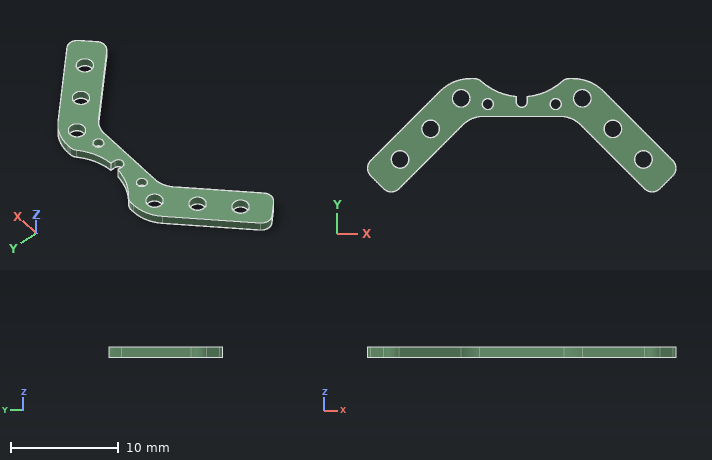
import cadquery as cq
import math

span = 28.65
depth = 10.55
thickness = 1.0
bridge_top = 3.55

arm_width = 3.72
end_radius = 1.0
outer_bend_radius = 4.0
inner_bend_radius = 2.7

inner_bend_start_x = 3.93
inner_bend_end_x = 5.65

relief_radius = 5.65
relief_bottom = 1.85
relief_corner_radius = 0.97

notch_width = 1.0
notch_bottom = 0.9

arm_hole_diameter = 1.6
arm_hole_count = 3
arm_hole_pitch = 4.0
arm_hole_end_distance = 3.0
bridge_hole_diameter = 1.0
bridge_hole_x = 3.15
bridge_hole_y = 1.17

diagonal = math.sqrt(0.5)
tip_loss = end_radius * (math.sqrt(2) - 1)
arm_side_step = arm_width * diagonal
outer_end_x = span / 2 + tip_loss
inner_end_y = bridge_top - depth - tip_loss
outer_end_y = inner_end_y + arm_side_step
inner_end_x = outer_end_x - arm_side_step
outer_bend_x = outer_end_x - (bridge_top - outer_end_y)
inner_bend_end_y = inner_end_y + inner_end_x - inner_bend_end_x

relief_center_y = relief_bottom + relief_radius
relief_half_width = math.sqrt(relief_radius**2 - (relief_center_y - bridge_top) ** 2)


def round_corners(body, corners, radius):
    """Round the vertical edges at the given corners of the right half and their mirror images."""
    for x, y in corners:
        for side in (-1, 1):
            edge = cq.selectors.NearestToPointSelector((side * x, y, thickness / 2))
            body = body.edges("|Z").edges(edge).fillet(radius)
    return body


def make_plate():
    plate = (
        cq.Workplane("XY")
        .moveTo(-relief_half_width, bridge_top)
        .threePointArc((0, relief_bottom), (relief_half_width, bridge_top))
        .lineTo(outer_bend_x, bridge_top)
        .lineTo(outer_end_x, outer_end_y)
        .lineTo(inner_end_x, inner_end_y)
        .lineTo(inner_bend_end_x, inner_bend_end_y)
        .radiusArc((inner_bend_start_x, 0), -inner_bend_radius)
        .lineTo(-inner_bend_start_x, 0)
        .radiusArc((-inner_bend_end_x, inner_bend_end_y), -inner_bend_radius)
        .lineTo(-inner_end_x, inner_end_y)
        .lineTo(-outer_end_x, outer_end_y)
        .lineTo(-outer_bend_x, bridge_top)
        .close()
        .extrude(thickness)
    )
    arm_ends = [(outer_end_x, outer_end_y), (inner_end_x, inner_end_y)]
    plate = round_corners(plate, arm_ends, end_radius)
    plate = round_corners(plate, [(outer_bend_x, bridge_top)], outer_bend_radius)
    return round_corners(plate, [(relief_half_width, bridge_top)], relief_corner_radius)


def make_notch():
    """Round-bottomed slot, open at the top."""
    radius = notch_width / 2
    return (
        cq.Workplane("XY")
        .moveTo(-radius, bridge_top)
        .lineTo(-radius, notch_bottom + radius)
        .threePointArc((0, notch_bottom), (radius, notch_bottom + radius))
        .lineTo(radius, bridge_top)
        .close()
        .extrude(thickness)
    )


def make_holes(points, diameter):
    return cq.Workplane("XY").pushPoints(points).circle(diameter / 2).extrude(thickness)


arm_hole_points = []
for index in range(arm_hole_count):
    offset = (arm_hole_end_distance + index * arm_hole_pitch) * diagonal
    hole_x = (outer_end_x + inner_end_x) / 2 - offset
    hole_y = (outer_end_y + inner_end_y) / 2 + offset
    arm_hole_points += [(-hole_x, hole_y), (hole_x, hole_y)]

bridge_hole_points = [(-bridge_hole_x, bridge_hole_y), (bridge_hole_x, bridge_hole_y)]

result = (
    make_plate()
    .cut(make_notch())
    .cut(make_holes(arm_hole_points, arm_hole_diameter))
    .cut(make_holes(bridge_hole_points, bridge_hole_diameter))
)